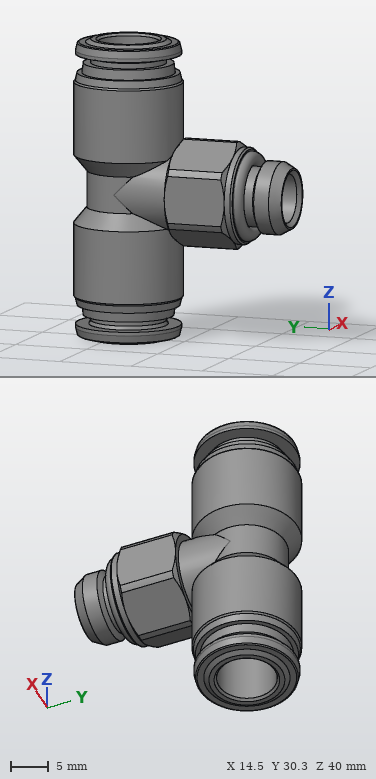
import cadquery as cq

half_length = 20.0
body_radius = 14.5 / 2
neck_radius = 11.0 / 2
neck_half_height = 2.45
body_inner_z = 4.55
body_outer_z = 14.3
cap_bottom_z = 14.5
cap_top_z = 15.5
cap_bottom_radius = 7.05
cap_top_radius = 6.8
inner_ring_bottom_radius = 6.15
inner_ring_top_radius = 6.0
inner_ring_top_z = 16.85
sleeve_radius = 10.0 / 2
sleeve_flare_radius = 5.25
sleeve_flare_z = 17.55
flange_radius = 14.0 / 2
flange_bevel_radius = 6.75
flange_top_radius = 6.55
flange_bottom_z = 18.05
flange_edge_z = 18.5
flange_bevel_z = 19.5
flange_top_z = 19.6
rim_base_radius = 5.7
rim_top_radius = 5.0

through_radius = 6.2 / 2
socket_radius = 8.0 / 2
socket_depth = 15.2
socket_mouth_radius = 4.3
socket_mouth_depth = 0.3

branch_radius = neck_radius
branch_end = 23.0
hex_start = 7.45
hex_end = 15.9
hex_across_flats = 12.9
hex_corner_radius = 7.15
hex_end_radius = hex_across_flats / 2
hex_chamfer_length = 0.5
collar_radius = 12.9 / 2
collar_chamfer_start = 16.7
collar_face_radius = 6.2
collar_end = 16.9
groove_radius = 8.0 / 2
seal_radius = 6.0
seal_end = 18.05
seal_tube_radius = (seal_radius - groove_radius) / 2
groove_end = 18.95
spigot_radius = 9.7 / 2
spigot_start = 19.45
spigot_taper_start = 21.5
spigot_tip_radius = 4.05
branch_bore_radius = 6.5 / 2
branch_mouth_radius = 3.8
branch_mouth_depth = 0.55


def revolve_about_z(points):
    """Solid of revolution from (radius, z) points."""
    return cq.Workplane("XZ").polyline(points).close().revolve(360, (0, 0), (0, 1))


def revolve_about_branch(points):
    """Solid of revolution about -Y from (radius, distance) points."""
    profile = [(radius, -distance) for radius, distance in points]
    return cq.Workplane("XY").polyline(profile).close().revolve(360, (0, 0), (0, 1))


def branch_cylinder(radius, start, end):
    return cq.Workplane("XZ", origin=(0, -start, 0)).circle(radius).extrude(end - start)


def main_run():
    upper_profile = [
        (neck_radius, neck_half_height),
        (body_radius, body_inner_z),
        (body_radius, body_outer_z),
        (cap_bottom_radius, cap_bottom_z),
        (cap_top_radius, cap_top_z),
        (inner_ring_bottom_radius, cap_top_z),
        (inner_ring_top_radius, inner_ring_top_z),
        (sleeve_radius, inner_ring_top_z),
        (sleeve_radius, sleeve_flare_z),
        (sleeve_flare_radius, flange_bottom_z),
        (flange_radius, flange_bottom_z),
        (flange_radius, flange_edge_z),
        (flange_bevel_radius, flange_bevel_z),
        (flange_top_radius, flange_top_z),
        (rim_base_radius, flange_top_z),
        (rim_top_radius, half_length),
        (0, half_length),
    ]
    lower_profile = [(radius, -z) for radius, z in reversed(upper_profile)]
    return revolve_about_z(lower_profile + upper_profile)


def hexagon():
    """Hexagon with corners up and down, turned to round corners and conical ends."""
    prism = (
        cq.Workplane("XZ", origin=(0, -hex_start, 0))
        .polygon(6, hex_across_flats, circumscribed=True)
        .extrude(hex_end - hex_start)
    )
    envelope = revolve_about_branch([
        (0, hex_start),
        (hex_end_radius, hex_start),
        (hex_corner_radius, hex_start + hex_chamfer_length),
        (hex_corner_radius, hex_end - hex_chamfer_length),
        (hex_end_radius, hex_end),
        (0, hex_end),
    ])
    return prism.intersect(envelope)


def seal():
    """O-ring lying in the groove against the collar."""
    return (
        cq.Workplane("XY")
        .center(0, -(seal_end - seal_tube_radius))
        .moveTo(seal_radius - seal_tube_radius, 0)
        .circle(seal_tube_radius)
        .revolve(360, (0, 0), (0, 1))
    )


def collar():
    return revolve_about_branch([
        (0, hex_end),
        (collar_radius, hex_end),
        (collar_radius, collar_chamfer_start),
        (collar_face_radius, collar_end),
        (0, collar_end),
    ])


def spigot():
    return revolve_about_branch([
        (0, collar_end),
        (groove_radius, collar_end),
        (groove_radius, groove_end),
        (spigot_radius, spigot_start),
        (spigot_radius, spigot_taper_start),
        (spigot_tip_radius, branch_end),
        (0, branch_end),
    ])


def socket(end_sign):
    """Tube socket with a flared mouth; end_sign picks the +Z or -Z end."""
    profile = [
        (0, half_length - socket_depth),
        (socket_radius, half_length - socket_depth),
        (socket_radius, half_length - socket_mouth_depth),
        (socket_mouth_radius, half_length),
        (0, half_length),
    ]
    return revolve_about_z([(radius, end_sign * z) for radius, z in profile])


def branch_bore():
    return revolve_about_branch([
        (0, 0),
        (branch_bore_radius, 0),
        (branch_bore_radius, branch_end - branch_mouth_depth),
        (branch_mouth_radius, branch_end),
        (0, branch_end),
    ])


result = main_run().union(branch_cylinder(branch_radius, 0, hex_start))
for branch_part in (hexagon(), collar(), spigot(), seal()):
    result = result.union(branch_part)

through_bore = cq.Workplane("XY").circle(through_radius).extrude(half_length, both=True)
for cutter in (through_bore, socket(1), socket(-1), branch_bore()):
    result = result.cut(cutter)